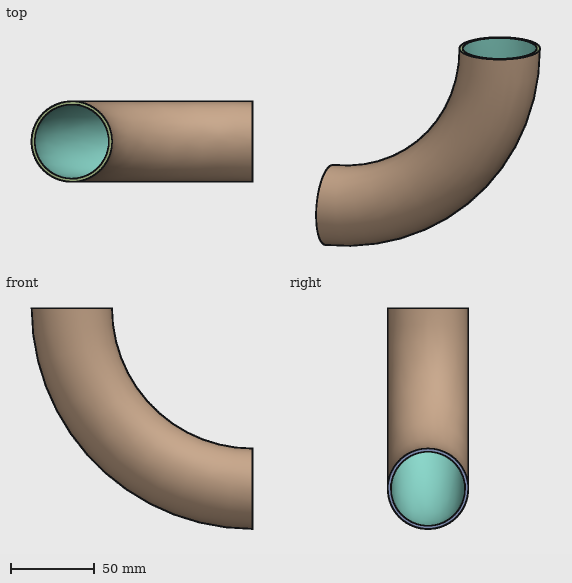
import cadquery as cq

overall_length = 132.2
outer_diameter = 48.2
wall_thickness = 2.0
bend_angle = 90.0

bend_radius = overall_length - outer_diameter / 2
inner_diameter = outer_diameter - 2 * wall_thickness


def pipe_elbow():
    """Revolve the upper pipe end's ring about the bend axis, which runs along Y through (bend_radius, 0, 0)."""
    ring = cq.Workplane("XY").circle(outer_diameter / 2).circle(inner_diameter / 2)
    axis_start = (bend_radius, 0)
    axis_end = (bend_radius, -1)
    return ring.revolve(bend_angle, axis_start, axis_end)


result = pipe_elbow()